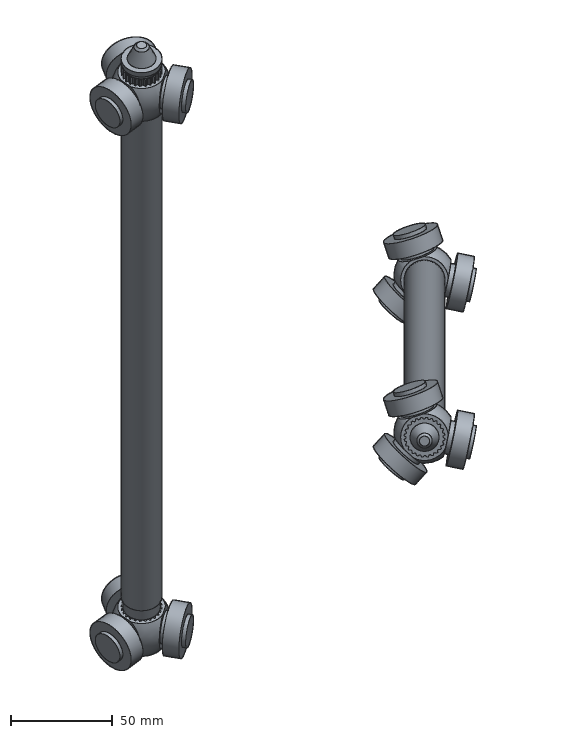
import cadquery as cq
import math

shaft_length = 418.2
shaft_top = shaft_length / 2
shaft_bottom = -shaft_length / 2

upper_joint_z = 179.5
lower_joint_z = -188.5
hub_height = 22.5
hub_face_radius = 11.7
hub_middle_radius = 15.0
hub_flat_distance = 11.5
arm_count = 3
first_arm_angle = 180
arm_radius = 8.5
arm_length = 24.3
roller_diameter = 28.0
roller_radius = roller_diameter / 2
roller_inner_face = 14.0
roller_outer_face = 22.0

shaft_radius = 10.0
neck_radius = 9.0
lower_shoulder_gap = 7.0
spline_overrun = 4.0
collar_bottom_gap = 6.3
tip_length = 9.0
tip_base_radius = 7.0
tip_rim_radius = 3.8
tip_chamfer = 1.3
tooth_count = 24

half_hub = hub_height / 2
upper_hub_bottom = upper_joint_z - half_hub
upper_hub_top = upper_joint_z + half_hub
lower_hub_bottom = lower_joint_z - half_hub
lower_hub_top = lower_joint_z + half_hub
spline_top = upper_hub_top + spline_overrun


def cylinder(radius, bottom, top):
    """Solid cylinder on the Z axis between two heights."""
    return cq.Workplane("XY").workplane(offset=bottom).circle(radius).extrude(top - bottom)


def splined_core(bottom, top):
    """Toothed cylinder: straight-sided teeth from the neck radius to the shaft radius."""
    pitch = 2 * math.pi / tooth_count
    tooth_radii = (neck_radius, neck_radius, shaft_radius, shaft_radius)
    outline = []
    for tooth in range(tooth_count):
        start = tooth * pitch
        for step, radius in enumerate(tooth_radii):
            angle = start + step * pitch / len(tooth_radii)
            outline.append((radius * math.cos(angle), radius * math.sin(angle)))
    return cq.Workplane("XY").workplane(offset=bottom).polyline(outline).close().extrude(top - bottom)


def tapered_tip(base_z, end_z):
    """Conical shaft end with a chamfered rim, pointing from the base height to the end height."""
    outward = math.copysign(1, end_z - base_z)
    return (
        cq.Workplane("XZ")
        .moveTo(0, base_z)
        .lineTo(tip_base_radius, base_z)
        .lineTo(tip_rim_radius, end_z - outward * tip_chamfer)
        .lineTo(tip_rim_radius - tip_chamfer, end_z)
        .lineTo(0, end_z)
        .close()
        .revolve(360, (0, 0, 0), (0, 1, 0))
    )


def make_shaft():
    """Round shaft with a splined seat for each joint, a collar at the top and two tips."""
    collar_bottom = upper_hub_top + collar_bottom_gap
    collar_top = shaft_top - tip_length
    shoulder = lower_hub_top + lower_shoulder_gap
    return (
        cylinder(shaft_radius, shoulder, upper_hub_bottom)
        .union(cylinder(neck_radius, lower_hub_top, shoulder))
        .union(splined_core(lower_hub_bottom, lower_hub_top))
        .union(tapered_tip(lower_hub_bottom, shaft_bottom))
        .union(splined_core(upper_hub_bottom, spline_top))
        .union(cylinder(neck_radius, spline_top, collar_bottom))
        .union(cylinder(shaft_radius, collar_bottom, collar_top))
        .union(tapered_tip(collar_top, shaft_top))
    )


def make_hub():
    """Barrel-shaped hub centred on the origin."""
    return (
        cq.Workplane("XZ")
        .moveTo(0, -half_hub)
        .lineTo(hub_face_radius, -half_hub)
        .threePointArc((hub_middle_radius, 0), (hub_face_radius, half_hub))
        .lineTo(0, half_hub)
        .close()
        .revolve(360, (0, 0, 0), (0, 1, 0))
    )


def arm_disc(radius, start, end, angle):
    """Cylinder square to the shaft axis, between two distances from it."""
    along_x = cq.Workplane("YZ").workplane(offset=start).circle(radius).extrude(end - start)
    return along_x.rotate((0, 0, 0), (0, 0, 1), angle)


def make_tripod(joint_z):
    """Hub with three arms and rollers, bored to fit the splined seat of the shaft."""
    tripod = make_hub()
    angles = [first_arm_angle + arm * 360 / arm_count for arm in range(arm_count)]
    for angle in angles:
        tripod = tripod.cut(arm_disc(hub_height, hub_flat_distance, arm_length, angle))
    for angle in angles:
        tripod = tripod.union(arm_disc(arm_radius, 0, arm_length, angle))
        tripod = tripod.union(arm_disc(roller_radius, roller_inner_face, roller_outer_face, angle))
    return tripod.cut(splined_core(-half_hub, half_hub)).translate((0, 0, joint_z))


shaft = make_shaft()
tripods = [make_tripod(joint_z) for joint_z in (lower_joint_z, upper_joint_z)]

result = cq.Compound.makeCompound([shaft.val(), *[tripod.val() for tripod in tripods]])